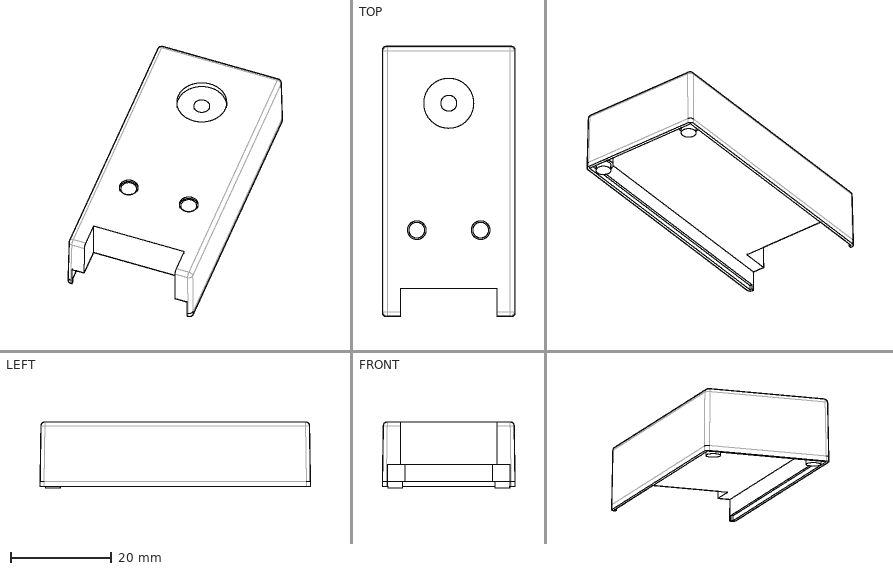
import cadquery as cq

length = 54.0
width = 26.5
body_height = 12.95
corner_radius = 0.8
top_fillet = 0.8
draft_angle = 0.9

rim_height = 1.0
rim_wall = 0.6

wall = 1.1
cavity_height = 4.45

notch_width = 19.2
notch_depth = 5.6

recess_y = 15.6
recess_diameter = 10.0
recess_depth = 1.2
recess_hole_diameter = 3.2
recess_hole_depth = 4.85

pair_spacing = 12.75
pair_y = -9.7
pair_hole_diameter = 3.15
pair_hole_depth = 4.85
pair_bore_diameter = 3.7
pair_bore_depth = 0.5

post_diameter = 3.9
pin_diameter = 2.95
pin_drop = 0.25

pin_x = width / 2 - wall - pin_diameter / 2
pin_y = length / 2 - wall - pin_diameter / 2


def box_on_base(size_x, size_y, height):
    return cq.Workplane("XY").rect(size_x, size_y).extrude(height)


def upright_cylinder(x, y, diameter, bottom, top):
    return cq.Workplane("XY", origin=(x, y, bottom)).circle(diameter / 2).extrude(top - bottom)


def blind_hole(x, y, diameter, depth):
    return upright_cylinder(x, y, diameter, body_height - depth, body_height)


def make_body():
    """Solid block: straight up to the rim height, drafted inwards above it."""
    rim = box_on_base(width, length, rim_height).edges("|Z").fillet(corner_radius)
    upper = (
        cq.Workplane("XY", origin=(0, 0, rim_height))
        .rect(width, length)
        .extrude(body_height - rim_height, taper=draft_angle)
        .edges("not(|X or |Y)")
        .fillet(corner_radius)
        .faces(">Z")
        .edges()
        .fillet(top_fillet)
    )
    return rim.union(upper, clean=False)


def make_cavity():
    """Space inside the walls, with a wider step at the rim and a front opening."""
    inner_width = width - 2 * wall
    chamber = box_on_base(inner_width, length - 2 * wall, cavity_height)
    rim_step = box_on_base(width - 2 * rim_wall, length - 2 * rim_wall, rim_height)
    opening = box_on_base(inner_width, 4 * wall, cavity_height).translate((0, -length / 2, 0))
    return chamber.union(rim_step).union(opening)


def make_notch():
    return box_on_base(notch_width, 2 * notch_depth, body_height).translate((0, -length / 2, 0))


def make_recess():
    hole = blind_hole(0, recess_y, recess_hole_diameter, recess_depth + recess_hole_depth)
    return blind_hole(0, recess_y, recess_diameter, recess_depth).union(hole)


def make_counterbored_hole(x, y):
    hole = blind_hole(x, y, pair_hole_diameter, pair_hole_depth)
    return blind_hole(x, y, pair_bore_diameter, pair_bore_depth).union(hole)


def make_post(x, y):
    post = upright_cylinder(x, y, post_diameter, rim_height, cavity_height)
    pin = upright_cylinder(x, y, pin_diameter, -pin_drop, cavity_height)
    return post.union(pin)


result = make_body().cut(make_cavity()).cut(make_notch()).cut(make_recess())

for side in (-1, 1):
    result = result.cut(make_counterbored_hole(side * pair_spacing / 2, pair_y))
    result = result.union(make_post(side * pin_x, pin_y))